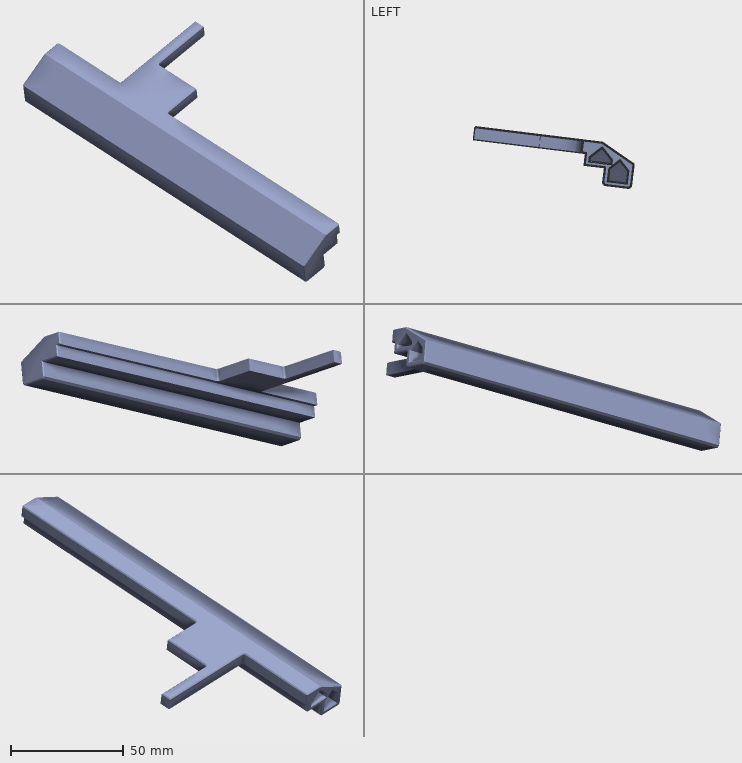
import cadquery as cq

tilt_angle = 7.0

bar_length = 174.55
bar_depth = 24.2
bar_top = 7.95
slope_depth = 15.2
leg_depth = 13.0
leg_bottom = -11.1
shelf_depth = 22.2
shelf_bottom = -3.3

plate_thickness = 5.95
plate_bottom = bar_top - plate_thickness
arm_start = 38.6
arm_width = 5.2
arm_reach = 72.63
tab_width = 29.0
tab_reach = 43.1
corner_radius = 1.0

end_wall = 2.0
cavity_length = bar_length - end_wall
front_cavity_center = leg_depth / 2
front_cavity_width = 8.0
front_cavity_floor = -8.8
front_cavity_apex = 0.5
rear_cavity_center = 15.1
rear_cavity_width = 9.4
rear_cavity_floor = -1.05
rear_cavity_apex = 5.2

edge_chamfer = 0.5
leg_chamfer = 1.0

tolerance = 0.01


def bar():
    outline = [
        (0, 0),
        (slope_depth, bar_top),
        (bar_depth, bar_top),
        (bar_depth, plate_bottom),
        (shelf_depth, plate_bottom),
        (shelf_depth, shelf_bottom),
        (leg_depth, shelf_bottom),
        (leg_depth, leg_bottom),
        (0, leg_bottom),
    ]
    body = cq.Workplane("YZ").polyline(outline).close().extrude(bar_length)
    leg_edges = body.faces("<Z").edges("|X")
    return leg_edges.chamfer(leg_chamfer)


def plate_block(width, reach):
    """Block of plate that starts inside the bar and ends at depth `reach`."""
    block = cq.Workplane("XY").box(width, reach - shelf_depth, plate_thickness, centered=False)
    return block.translate((arm_start, shelf_depth, plate_bottom))


def roofed_cavity(center, width, floor, apex):
    """Cavity with upright walls, a flat floor and a roof at 45 degrees."""
    half_width = width / 2
    eaves = apex - half_width
    outline = [
        (center - half_width, floor),
        (center - half_width, eaves),
        (center, apex),
        (center + half_width, eaves),
        (center + half_width, floor),
    ]
    return cq.Workplane("YZ").polyline(outline).close().extrude(cavity_length)


def fillet_inner_corners(body):
    """Round the upright inner corners between bar, arm and tab."""
    corners = [
        (arm_start, bar_depth),
        (arm_start + arm_width, tab_reach),
        (arm_start + tab_width, bar_depth),
    ]
    for x, y in corners:
        near_corner = cq.selectors.BoxSelector(
            (x - tolerance, y - tolerance, plate_bottom),
            (x + tolerance, y + tolerance, bar_top),
        )
        body = body.edges("|Z").edges(near_corner).fillet(corner_radius)
    return body


def chamfer_edges(body):
    """Break both end outlines, the cavity mouths and the rear rim of the top face."""
    ends = body.faces("<X or >X").edges()
    behind_slope = cq.selectors.BoxSelector(
        (tolerance, slope_depth + tolerance, plate_bottom),
        (bar_length - tolerance, arm_reach + tolerance, bar_top + tolerance),
    )
    rear_rim = body.faces(">Z").edges(behind_slope)
    return ends.add(rear_rim).chamfer(edge_chamfer)


level_part = bar()
level_part = level_part.union(plate_block(arm_width, arm_reach))
level_part = level_part.union(plate_block(tab_width, tab_reach)).clean()
level_part = fillet_inner_corners(level_part)
level_part = level_part.cut(
    roofed_cavity(front_cavity_center, front_cavity_width, front_cavity_floor, front_cavity_apex)
)
level_part = level_part.cut(
    roofed_cavity(rear_cavity_center, rear_cavity_width, rear_cavity_floor, rear_cavity_apex)
)
level_part = chamfer_edges(level_part)

result = level_part.rotate((0, 0, 0), (1, 0, 0), tilt_angle)